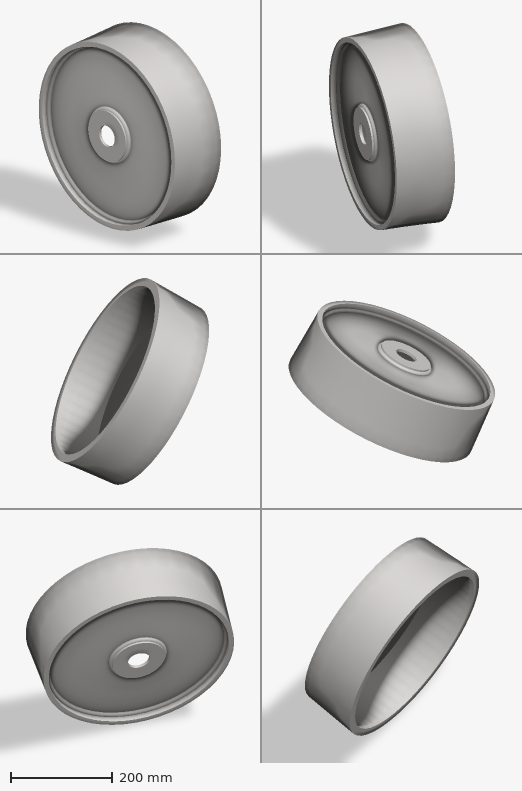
import cadquery as cq
import math

width = 120.0
large_radius = 200.0
small_radius = 193.5

rim_inner_radius = 183.0
shell_thickness = 6.0
fillet_radius = 6.0

dome_radius = 1824.0
dome_depth = 9.0

hub_radius = 53.0
bore_radius = 22.0

front_y = -width / 2
back_y = width / 2
dome_centre_y = front_y + dome_depth + dome_radius
inner_dome_radius = dome_radius - shell_thickness
hub_pocket_radius = hub_radius - shell_thickness
hub_back_y = front_y + shell_thickness


def dome_point(radius, sphere_radius):
    """Point at a distance from the axis on a sphere concentric with the dome."""
    return radius, dome_centre_y - math.sqrt(sphere_radius**2 - radius**2)


def web_fillet_ends(wall_radius, centre_radius):
    """Tangent points on the cylindrical wall and on the dome."""
    centre_y = dome_point(centre_radius, dome_radius + fillet_radius)[1]
    touch_radius = centre_radius * dome_radius / (dome_radius + fillet_radius)
    return (wall_radius, centre_y), dome_point(touch_radius, dome_radius)


hub_wall_end, web_inner_edge = web_fillet_ends(hub_radius, hub_radius + fillet_radius)
rim_wall_end, web_outer_edge = web_fillet_ends(rim_inner_radius, rim_inner_radius - fillet_radius)

profile = (
    cq.Workplane("XY")
    .moveTo(bore_radius, front_y)
    .lineTo(hub_radius, front_y)
    .lineTo(*hub_wall_end)
    .radiusArc(web_inner_edge, -fillet_radius)
    .radiusArc(web_outer_edge, dome_radius)
    .radiusArc(rim_wall_end, -fillet_radius)
    .lineTo(rim_inner_radius, front_y)
    .lineTo(small_radius, front_y)
    .lineTo(large_radius, back_y)
    .lineTo(rim_inner_radius, back_y)
    .lineTo(*dome_point(rim_inner_radius, inner_dome_radius))
    .radiusArc(dome_point(hub_pocket_radius, inner_dome_radius), -inner_dome_radius)
    .lineTo(hub_pocket_radius, hub_back_y)
    .lineTo(bore_radius, hub_back_y)
    .close()
)
result = profile.revolve(360, (0, 0, 0), (0, 1, 0))